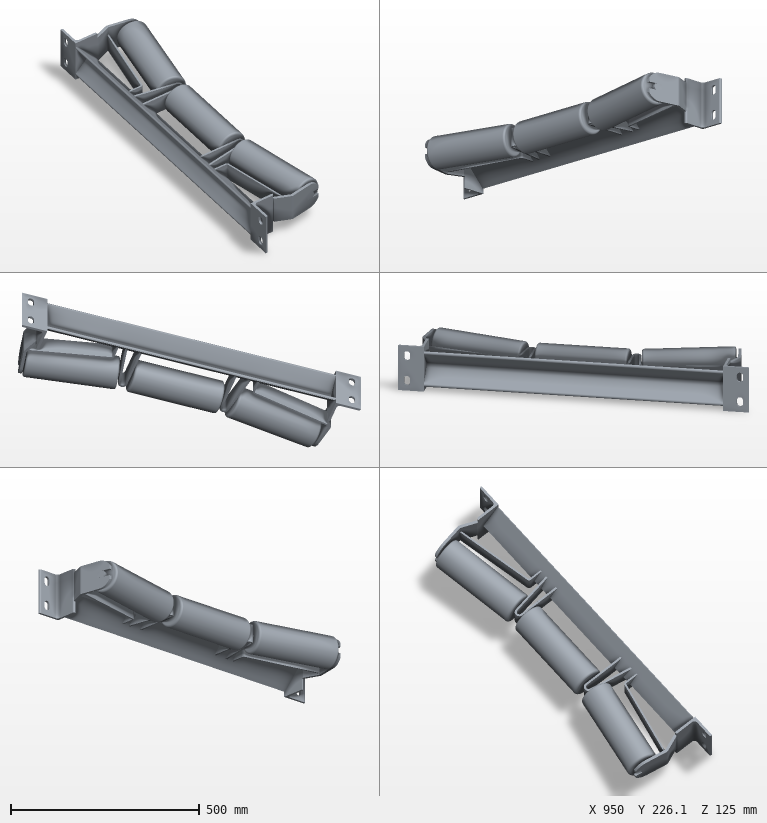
import cadquery as cq
import math


ANGLE_LEG = 70.0
ANGLE_THICKNESS = 7.0
ANGLE_ROOT_RADIUS = 9.0
ANGLE_TOE_RADIUS = 4.5

OVERALL_LENGTH = 950.0
FOOT_HEIGHT = 125.0
FOOT_BACK_X = OVERALL_LENGTH / 2 - ANGLE_LEG
BOLT_SLOT_X = 450.0
BOLT_SLOT_SPACING = 69.0
BOLT_SLOT_LENGTH = 27.0
BOLT_SLOT_WIDTH = 17.0

TOE_CORNER_LOSS = ANGLE_TOE_RADIUS * (math.sqrt(2) - 1)
BEAM_HEEL_Y = (ANGLE_LEG + ANGLE_THICKNESS) / math.sqrt(2) - TOE_CORNER_LOSS

ROLLER_LENGTH = 250.0
ROLLER_RADIUS = 45.0
ROLLER_RIM_RADIUS = 6.0
CENTRE_ROLLER_Y = 136.0
SIDE_ROLLER_CENTRE = (283.0, 161.0, 5.0)
TROUGH_ANGLE = 10.0
FORWARD_TILT = 2.0
AXLE_DIAMETER = 25.0
AXLE_FLATS = 18.0

PLATE_THICKNESS = 8.0
PLATE_HEIGHT = 80.0
PLATE_MID_Z = 9.5
PLATE_SPLAY = 22.0
PLATE_BEND_Y = 118.0
PLATE_TIP_Y = 214.0
PLATE_BEND_RADIUS = 12.0
PLATE_CAP_DROP = 5.0

STRAP_HEIGHT = 50.0
HAIRPIN_THICKNESS = 6.0
HAIRPIN_RADIUS = 12.0
HAIRPIN_INNER_X = 130.0
HAIRPIN_TOP_Y = 161.5

STRUT_THICKNESS = 5.0
STRUT_LEG_X = 195.0
STRUT_KNEE_Y = 71.0
STRUT_BEND_RADIUS = 8.0
STRUT_SLOPE = 12.0

TROUGH_SIN = math.sin(math.radians(TROUGH_ANGLE))
TROUGH_COS = math.cos(math.radians(TROUGH_ANGLE))
TROUGH_TAN = math.tan(math.radians(TROUGH_ANGLE))
SPLAY_TAN = math.tan(math.radians(PLATE_SPLAY))
SPLAY_COS = math.cos(math.radians(PLATE_SPLAY))
PLATE_FOOT_X = FOOT_BACK_X + ANGLE_THICKNESS
PLATE_BEND_X = PLATE_FOOT_X + (PLATE_BEND_Y - ANGLE_LEG) * SPLAY_TAN
PLATE_TIP_X = PLATE_BEND_X - (PLATE_TIP_Y - PLATE_BEND_Y) * TROUGH_TAN
HAIRPIN_ARC_X = HAIRPIN_INNER_X + HAIRPIN_RADIUS
HAIRPIN_ARC_Y = HAIRPIN_TOP_Y - HAIRPIN_RADIUS


def distance_along_side_axis(x, y):
    """Distance from the side roller's centre to a point, measured along its axis in plan."""
    return (x - SIDE_ROLLER_CENTRE[0]) * TROUGH_COS + (y - SIDE_ROLLER_CENTRE[1]) * TROUGH_SIN


SIDE_AXLE_START = distance_along_side_axis(
    HAIRPIN_ARC_X + (HAIRPIN_RADIUS - HAIRPIN_THICKNESS) * TROUGH_COS,
    HAIRPIN_ARC_Y + (HAIRPIN_RADIUS - HAIRPIN_THICKNESS) * TROUGH_SIN,
)
SIDE_AXLE_END = distance_along_side_axis(PLATE_BEND_X, PLATE_BEND_Y)
CENTRE_AXLE_END = HAIRPIN_INNER_X + HAIRPIN_THICKNESS


def on_side(shape, side):
    """The shape itself on the +X side (1), or its mirror image on the -X side (-1)."""
    return shape if side > 0 else shape.mirror("YZ")


def place_centre(shape):
    """Move a shape from the roller's own frame (axis on X) to the centre roller."""
    return shape.translate((0, CENTRE_ROLLER_Y, 0))


def place_side(shape):
    """Move a shape from the roller's own frame (axis on X) to the +X side roller."""
    tilted = shape.rotate((0, 0, 0), (0, 1, 0), -FORWARD_TILT)
    troughed = tilted.rotate((0, 0, 0), (0, 0, 1), TROUGH_ANGLE)
    return troughed.translate(SIDE_ROLLER_CENTRE)


def angle_bar(length):
    """Equal angle with its heel at the origin, legs along +X and +Y, centred on Z."""
    profile = (
        cq.Workplane("XY", origin=(0, 0, -length / 2))
        .polyline([
            (0, 0),
            (ANGLE_LEG, 0),
            (ANGLE_LEG, ANGLE_THICKNESS),
            (ANGLE_THICKNESS, ANGLE_THICKNESS),
            (ANGLE_THICKNESS, ANGLE_LEG),
            (0, ANGLE_LEG),
        ])
        .close()
        .extrude(length)
    )
    root = cq.selectors.NearestToPointSelector((ANGLE_THICKNESS, ANGLE_THICKNESS, 0))
    bar = profile.edges(root).fillet(ANGLE_ROOT_RADIUS)
    for toe_point in ((ANGLE_LEG, ANGLE_THICKNESS, 0), (ANGLE_THICKNESS, ANGLE_LEG, 0)):
        toe = cq.selectors.NearestToPointSelector(toe_point)
        bar = bar.edges(toe).fillet(ANGLE_TOE_RADIUS)
    return bar



def axle(start, end):
    """Round axle between two points of X, with two flats over its ends beyond the roller."""
    bar = cq.Workplane("YZ", origin=(start, 0, 0)).circle(AXLE_DIAMETER / 2).extrude(end - start)
    flatted = cq.Workplane("XY").box(2 * ROLLER_LENGTH, AXLE_DIAMETER, AXLE_FLATS)
    plain = cq.Workplane("XY").box(ROLLER_LENGTH, AXLE_DIAMETER, AXLE_DIAMETER)
    return bar.intersect(flatted.union(plain))


def roller():
    """Roller with rounded rims, bored for its axle."""
    end_face = cq.Workplane("YZ", origin=(-ROLLER_LENGTH / 2, 0, 0))
    body = end_face.circle(ROLLER_RADIUS).extrude(ROLLER_LENGTH)
    body = body.edges("%CIRCLE").fillet(ROLLER_RIM_RADIUS)
    bore = end_face.circle(AXLE_DIAMETER / 2).extrude(ROLLER_LENGTH)
    return body.cut(bore)


def side_axle():
    return place_side(axle(SIDE_AXLE_START, SIDE_AXLE_END))


def centre_axle():
    return place_centre(axle(-CENTRE_AXLE_END, CENTRE_AXLE_END))



def foot():
    """Mounting foot: an upright angle with two bolt slots through its flange."""
    slots = (
        cq.Workplane("XZ", origin=(BOLT_SLOT_X, ANGLE_THICKNESS, 0))
        .rarray(9.5, BOLT_SLOT_SPACING, 1, 2)
        .slot2D(BOLT_SLOT_LENGTH, BOLT_SLOT_WIDTH, 90)
        .extrude(ANGLE_THICKNESS)
    )
    return angle_bar(FOOT_HEIGHT).translate((FOOT_BACK_X, 0, 0)).cut(slots)


def plate_strip():
    """Constant-height strip that splays out from the foot, then leans in along the roller end."""
    half_bend = math.radians((PLATE_SPLAY + TROUGH_ANGLE) / 2)
    bisector = math.radians((PLATE_SPLAY - TROUGH_ANGLE) / 2)
    miter = PLATE_THICKNESS / math.cos(half_bend)
    inner_bend = (
        PLATE_BEND_X - miter * math.cos(bisector),
        PLATE_BEND_Y + miter * math.sin(bisector),
    )
    inner_end_x = PLATE_FOOT_X - PLATE_THICKNESS / SPLAY_COS
    back_meet_y = ANGLE_LEG + (FOOT_BACK_X - inner_end_x) / SPLAY_TAN
    strip = (
        cq.Workplane("XY", origin=(0, 0, PLATE_MID_Z - PLATE_HEIGHT / 2))
        .polyline([
            (FOOT_BACK_X, ANGLE_LEG),
            (PLATE_FOOT_X, ANGLE_LEG),
            (PLATE_BEND_X, PLATE_BEND_Y),
            (PLATE_TIP_X, PLATE_TIP_Y),
            (PLATE_TIP_X - PLATE_THICKNESS / TROUGH_COS, PLATE_TIP_Y),
            inner_bend,
            (FOOT_BACK_X, back_meet_y),
        ])
        .close()
        .extrude(PLATE_HEIGHT)
    )
    outer_edge = cq.selectors.NearestToPointSelector((PLATE_BEND_X, PLATE_BEND_Y, PLATE_MID_Z))
    inner_edge = cq.selectors.NearestToPointSelector((*inner_bend, PLATE_MID_Z))
    strip = strip.edges(outer_edge).fillet(PLATE_BEND_RADIUS)
    return strip.edges(inner_edge).fillet(PLATE_BEND_RADIUS - PLATE_THICKNESS)


def rounded_plate_envelope():
    """Space that rounds the plate's upper corners from just below the axle's centre upwards."""
    reach = PLATE_TIP_Y
    cap = cq.Workplane("YZ", origin=(-reach, 0, 0)).circle(PLATE_HEIGHT / 2).extrude(2 * reach)
    below = cq.Workplane("XY").box(2 * reach, reach, PLATE_HEIGHT).translate((0, -reach / 2, 0))
    envelope = cap.union(below).translate((0, -PLATE_CAP_DROP, 0)).rotate((0, 0, 0), (0, 0, 1), TROUGH_ANGLE)
    return envelope.translate((SIDE_ROLLER_CENTRE[0], SIDE_ROLLER_CENTRE[1], PLATE_MID_Z))


def axle_slot():
    """Slot for the flatted outer end of the side axle, open towards the plate's tip."""
    reach = PLATE_HEIGHT
    mouth = cq.Workplane("XY").box(reach, reach, AXLE_FLATS).translate((SIDE_AXLE_END, reach / 2, 0))
    seat = axle(ROLLER_LENGTH / 2, SIDE_AXLE_END + PLATE_THICKNESS)
    return place_side(mouth.union(seat))


def end_bracket():
    plate = plate_strip().intersect(rounded_plate_envelope()).cut(axle_slot())
    return foot().union(plate)



def beam():
    """Angle laid along X between the feet, heel up, legs spread evenly about Z = 0."""
    bar = angle_bar(2 * FOOT_BACK_X)
    heel_up = bar.rotate((0, 0, 0), (0, 0, 1), -135)
    along_x = heel_up.rotate((0, 0, 0), (0, 1, 0), 90)
    return along_x.translate((0, BEAM_HEEL_Y, 0))


def beam_wedge():
    """Space under the beam's two outer faces; straps standing on the beam end here."""
    return (
        cq.Workplane("YZ")
        .polyline([(BEAM_HEEL_Y, 0), (0, BEAM_HEEL_Y), (0, -BEAM_HEEL_Y)])
        .close()
        .extrude(FOOT_BACK_X)
    )


def hairpin():
    """Bent strap with an upright leg at the centre roller and a leaning leg at the side roller."""
    inner_radius = HAIRPIN_RADIUS - HAIRPIN_THICKNESS
    leaning_length = HAIRPIN_ARC_Y / TROUGH_COS

    def arc_point(radius, degrees):
        angle = math.radians(degrees)
        return (HAIRPIN_ARC_X + radius * math.cos(angle), HAIRPIN_ARC_Y + radius * math.sin(angle))

    def leaning_end(radius):
        x, y = arc_point(radius, TROUGH_ANGLE)
        return (x + leaning_length * TROUGH_SIN, y - leaning_length * TROUGH_COS)

    strap = (
        cq.Workplane("XY", origin=(0, 0, -STRAP_HEIGHT / 2))
        .moveTo(HAIRPIN_INNER_X, 0)
        .lineTo(HAIRPIN_INNER_X, HAIRPIN_ARC_Y)
        .threePointArc(arc_point(HAIRPIN_RADIUS, 90), arc_point(HAIRPIN_RADIUS, TROUGH_ANGLE))
        .lineTo(*leaning_end(HAIRPIN_RADIUS))
        .lineTo(*leaning_end(inner_radius))
        .lineTo(*arc_point(inner_radius, TROUGH_ANGLE))
        .threePointArc(arc_point(inner_radius, 90), arc_point(inner_radius, 180))
        .lineTo(HAIRPIN_INNER_X + HAIRPIN_THICKNESS, 0)
        .close()
        .extrude(STRAP_HEIGHT)
    )
    return strap.cut(beam_wedge()).cut(centre_axle()).cut(side_axle())


def strut():
    """Thin strap that rises from the beam and slopes out to the end plate's bend."""
    slope_tan = math.tan(math.radians(STRUT_SLOPE))
    drop = STRUT_THICKNESS / math.cos(math.radians(STRUT_SLOPE))
    end_x = PLATE_BEND_X - PLATE_THICKNESS / 2
    end_y = STRUT_KNEE_Y + (end_x - STRUT_LEG_X) * slope_tan
    underside_knee_y = STRUT_KNEE_Y - drop + STRUT_THICKNESS * slope_tan
    strap = (
        cq.Workplane("XY", origin=(0, 0, -STRAP_HEIGHT / 2))
        .polyline([
            (STRUT_LEG_X, 0),
            (STRUT_LEG_X, STRUT_KNEE_Y),
            (end_x, end_y),
            (end_x, end_y - drop),
            (STRUT_LEG_X + STRUT_THICKNESS, underside_knee_y),
            (STRUT_LEG_X + STRUT_THICKNESS, 0),
        ])
        .close()
        .extrude(STRAP_HEIGHT)
    )
    outer_knee = cq.selectors.NearestToPointSelector((STRUT_LEG_X, STRUT_KNEE_Y, 0))
    inner_knee = cq.selectors.NearestToPointSelector((STRUT_LEG_X + STRUT_THICKNESS, underside_knee_y, 0))
    strap = strap.edges(outer_knee).fillet(STRUT_BEND_RADIUS)
    strap = strap.edges(inner_knee).fillet(STRUT_BEND_RADIUS - STRUT_THICKNESS)
    return strap.cut(beam_wedge()).cut(plate_strip())


def cross_member():
    member = beam()
    for side in (1, -1):
        member = member.union(on_side(hairpin(), side)).union(on_side(strut(), side))
    return member


bodies = [
    cross_member().solids().val(),
    place_centre(roller()).solids().val(),
    centre_axle().solids().val(),
]
for side in (1, -1):
    bodies.append(on_side(end_bracket(), side).solids().val())
    bodies.append(on_side(place_side(roller()), side).solids().val())
    bodies.append(on_side(side_axle(), side).solids().val())

result = cq.Compound.makeCompound(bodies)